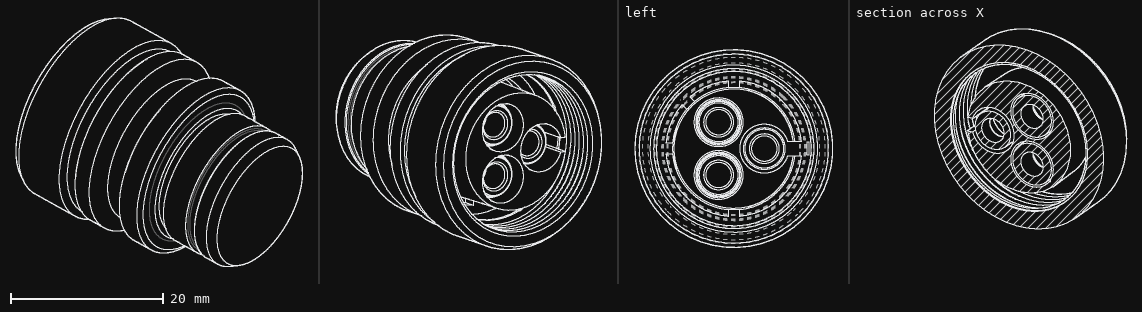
import cadquery as cq
import math

length = 31.5
body_radius = 26.0 / 2
front_chamfer_radius = 12.4
collar_radius = 12.47
band_radius = 12.0
waist_radius = 10.25
tail_radius = 9.4
tail_neck_radius = 8.65
seal_groove_radius = 8.8
seal_groove_fillet = 0.2
flange_rear_radius = 11.28
shoulder_radius = 9.48
shoulder_fillet = 0.55

front_chamfer_end = 1.0
body_end = 7.97
front_band_start = 8.5
front_band_end = 10.0
collar_start = 10.27
collar_end = 12.7
waist_start = 14.0
waist_end = 16.5
flange_start = 17.48
flange_chamfer_start = 20.5
flange_end = 20.98
tail_start = 22.87
seal_groove_start = 26.7
seal_groove_end = 28.1
seal_lip_chamfer = 0.13
tail_chamfer_start = 30.27

fillet_middle = 1 - math.sqrt(0.5)

mouth_radius = 11.0
thread_crest_radius = 10.52
thread_start = mouth_radius - thread_crest_radius
thread_pitch = 1.0
thread_turns = 5
bore_radius = 10.15
relief_groove_radius = 10.45
relief_groove_start = 6.6
relief_groove_end = 7.0
ledge_depth = 10.7

mark_width = 1.7
mark_height = 0.25
mark_offset = 9.73
mark_depth = 0.13

gap_radius = 8.9
gap_floor = 12.6
insert_face = 1.67
insert_front_radius = 7.85
insert_root_radius = 8.05
key_width = 1.45
key_angles = (90, 180, 270, 135)
wide_key_width = 1.92
wide_key_angle = 0

contact_circle = 4.0
contact_angles = (0, 120, 240)
well_radius = 3.2
contact_face = 3.5
recessed_contact_face = 4.47
contact_radius = 2.75
contact_chamfer = 0.2
contact_collar_radius = 3.0
contact_collar_chamfer = 0.15
contact_collar_face = 4.25
socket_radius = 1.67
socket_mouth_radius = 1.95
socket_depth = 4.72


def revolve_about_x(profile):
    """Revolve a closed (x, radius) profile about the X axis."""
    return profile.close().revolve(360, (0, 0, 0), (1, 0, 0))


def cylinder(x_start, x_end, radius, y=0.0, z=0.0):
    """Cylinder along X."""
    axis_plane = cq.Workplane("YZ", origin=(x_start, 0, 0))
    return axis_plane.center(y, z).circle(radius).extrude(x_end - x_start)


def radial_bar(x_start, x_end, inner, outer, width, angle):
    """Box reaching from the inner to the outer radius; angle 0 points to -Y, 90 to +Z."""
    bar = cq.Workplane("XY").box(x_end - x_start, outer - inner, width)
    bar = bar.translate(((x_start + x_end) / 2, -(inner + outer) / 2, 0))
    return bar.rotate((0, 0, 0), (1, 0, 0), -angle)


def make_shell():
    """Solid body of the outer outline, before it is hollowed out."""
    profile = cq.Workplane("XY").polyline([
        (0, 0),
        (0, front_chamfer_radius),
        (front_chamfer_end, body_radius),
        (body_end, body_radius),
        (front_band_start, band_radius),
        (front_band_end, band_radius),
        (collar_start, collar_radius),
        (collar_end, collar_radius),
        (waist_start, waist_radius),
        (waist_end, waist_radius),
        (flange_start, band_radius),
        (flange_chamfer_start, band_radius),
        (flange_end, flange_rear_radius),
        (flange_end, shoulder_radius + shoulder_fillet),
    ])
    shoulder_turn = shoulder_fillet * fillet_middle
    profile = profile.threePointArc(
        (flange_end + shoulder_turn, shoulder_radius + shoulder_turn),
        (flange_end + shoulder_fillet, shoulder_radius),
    )
    profile = profile.polyline([
        (flange_end + shoulder_fillet, tail_neck_radius),
        (tail_start, tail_neck_radius),
        (tail_start, tail_radius),
        (seal_groove_start, tail_radius),
        (seal_groove_start, seal_groove_radius + seal_groove_fillet),
    ], includeCurrent=True)
    fillet_turn = seal_groove_fillet * fillet_middle
    profile = profile.threePointArc(
        (seal_groove_start + fillet_turn, seal_groove_radius + fillet_turn),
        (seal_groove_start + seal_groove_fillet, seal_groove_radius),
    )
    profile = profile.lineTo(seal_groove_end - seal_groove_fillet, seal_groove_radius)
    profile = profile.threePointArc(
        (seal_groove_end - fillet_turn, seal_groove_radius + fillet_turn),
        (seal_groove_end, seal_groove_radius + seal_groove_fillet),
    )
    profile = profile.lineTo(seal_groove_end, tail_radius - seal_lip_chamfer)
    profile = profile.lineTo(seal_groove_end + seal_lip_chamfer, tail_radius)
    profile = profile.lineTo(tail_chamfer_start, tail_radius).lineTo(length, tail_neck_radius).lineTo(length, 0)
    return revolve_about_x(profile)


def make_mouth():
    """Hollow of the mouth.

    From the front: lead-in chamfer, V thread rings, conical runout, relief groove, plain bore.
    """
    profile = cq.Workplane("XY").moveTo(0, 0).lineTo(0, mouth_radius)
    profile = profile.lineTo(thread_start, thread_crest_radius)
    for turn in range(thread_turns):
        crest = thread_start + turn * thread_pitch
        profile = profile.lineTo(crest + thread_pitch / 2, mouth_radius)
        profile = profile.lineTo(crest + thread_pitch, thread_crest_radius)
    profile = profile.lineTo(relief_groove_start, bore_radius)
    profile = profile.lineTo(relief_groove_start, relief_groove_radius)
    profile = profile.lineTo(relief_groove_end, relief_groove_radius)
    profile = profile.lineTo(relief_groove_end, bore_radius)
    profile = profile.lineTo(ledge_depth, bore_radius)
    return revolve_about_x(profile.lineTo(ledge_depth, 0))


def make_gap():
    """Ring-shaped gap behind the ledge, with the keys left standing."""
    gap = cylinder(ledge_depth, gap_floor, gap_radius)
    for angle in key_angles:
        gap = gap.cut(radial_bar(ledge_depth, gap_floor, contact_circle, mouth_radius, key_width, angle))
    wide_key = radial_bar(
        ledge_depth, gap_floor, contact_circle, mouth_radius, wide_key_width, wide_key_angle
    )
    return gap.cut(wide_key)


def make_insert():
    """Tapered insert standing in the mouth, slotted for the wide key."""
    insert = revolve_about_x(cq.Workplane("XY").polyline([
        (insert_face, 0),
        (insert_face, insert_front_radius),
        (gap_floor, insert_root_radius),
        (gap_floor, 0),
    ]))
    return insert.cut(
        radial_bar(insert_face, ledge_depth, contact_circle, mouth_radius, wide_key_width, wide_key_angle)
    )


def chamfered_post(x_face, radius, chamfer, y, z):
    """Cylinder standing on the well floor with a chamfered front edge."""
    return cylinder(x_face, ledge_depth, radius, y, z).faces("<X").chamfer(chamfer)


def make_contact(face, y, z, with_collar):
    """Round post; the collar is a wider step at its foot."""
    contact = chamfered_post(face, contact_radius, contact_chamfer, y, z)
    if with_collar:
        contact = contact.union(
            chamfered_post(contact_collar_face, contact_collar_radius, contact_collar_chamfer, y, z)
        )
    return contact


def make_socket(face, y, z):
    """Blind bore of a contact with a chamfered mouth."""
    socket = cylinder(face, face + socket_depth, socket_radius, y, z)
    mouth_chamfer = socket_mouth_radius - socket_radius
    countersink = cq.Workplane("XY").polyline([
        (face, 0),
        (face, socket_mouth_radius),
        (face + mouth_chamfer, socket_radius),
        (face + mouth_chamfer, 0),
    ])
    return socket.union(revolve_about_x(countersink).translate((0, y, z)))


result = make_shell().cut(make_mouth()).cut(make_gap()).union(make_insert())

for contact_angle in contact_angles:
    contact_y = -contact_circle * math.cos(math.radians(contact_angle))
    contact_z = contact_circle * math.sin(math.radians(contact_angle))
    is_recessed = contact_angle == wide_key_angle
    face = recessed_contact_face if is_recessed else contact_face
    result = result.cut(cylinder(insert_face, ledge_depth, well_radius, contact_y, contact_z))
    result = result.union(make_contact(face, contact_y, contact_z, not is_recessed))
    result = result.cut(make_socket(face, contact_y, contact_z))

result = result.cut(radial_bar(
    insert_face,
    ledge_depth + mark_depth,
    mark_offset - mark_height / 2,
    mark_offset + mark_height / 2,
    mark_width,
    wide_key_angle,
))